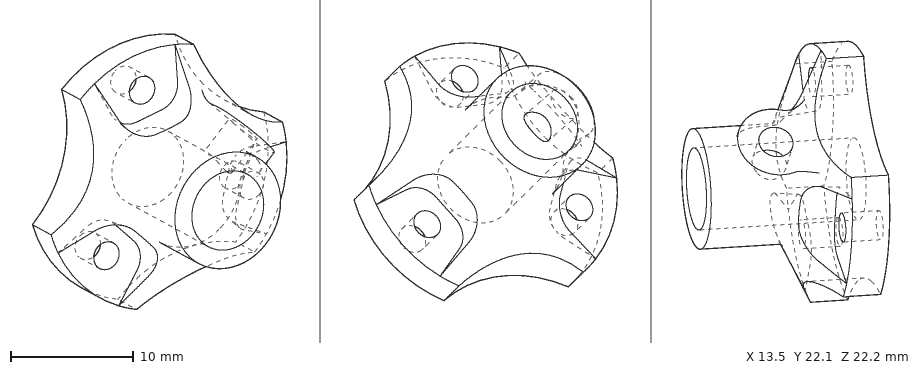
import cadquery as cq
import math

length = 13.48
flange_radius = 11.3
flange_thickness = 3.15
cone_end_x = 6.4
tube_radius = 9.92 / 2
bore_diameter = 6.75

lobe_count = 3
lobe_pitch = 360 / lobe_count
scallop_angle = 46.3
lobe_angle = scallop_angle + lobe_pitch / 2
scallop_radius = flange_radius
scallop_center = 19.45
bolt_hole_diameter = 2.38
bolt_circle_radius = 8.15

pocket_inner = 5.75
pocket_inner_half_width = 2.9
pocket_flare = 12
pocket_draft = 6
pocket_corner_radius = 2.1
pocket_outer = 13.35

lug_x = 7.92
lug_radius = 3.18
lug_height = 6.59
lug_hole_diameter = 2.85
blend_radius = 0.8
lug_cone_blend_radius = 1.45


def turned(shape, angle):
    """Turn a shape about the hub axis."""
    return shape.rotate((0, 0, 0), (1, 0, 0), angle)


def make_hub():
    return (
        cq.Workplane("XY")
        .polyline([
            (0, 0),
            (0, flange_radius),
            (flange_thickness, flange_radius),
            (cone_end_x, tube_radius),
            (length, tube_radius),
            (length, 0),
        ])
        .close()
        .revolve(360, (0, 0, 0), (1, 0, 0))
    )


def make_lug():
    """Cylindrical lug standing along +Z and merging into the cone."""
    return cq.Workplane("XY").center(lug_x, 0).circle(lug_radius).extrude(lug_height)


def make_scallop():
    return cq.Workplane("YZ").center(scallop_center, 0).circle(scallop_radius).extrude(length)


def make_pocket():
    """Drafted pocket along +Y, cut down to the flange face."""
    outer_half_width = pocket_inner_half_width + (
        (pocket_outer - pocket_inner) * math.tan(math.radians(pocket_flare))
    )
    outline = (
        cq.Sketch()
        .polygon([
            (pocket_inner, -pocket_inner_half_width),
            (pocket_outer, -outer_half_width),
            (pocket_outer, outer_half_width),
            (pocket_inner, pocket_inner_half_width),
            (pocket_inner, -pocket_inner_half_width),
        ])
        .vertices("<X")
        .fillet(pocket_corner_radius)
    )
    return (
        cq.Workplane("YZ", origin=(flange_thickness, 0, 0))
        .placeSketch(outline)
        .extrude(cone_end_x, taper=-pocket_draft)
    )


def make_bolt_hole():
    return (
        cq.Workplane("YZ")
        .center(bolt_circle_radius, 0)
        .circle(bolt_hole_diameter / 2)
        .extrude(length)
    )


def blend_concave_edges(body):
    """Fillet the junctions of cone, tube and lug while the lug points along +Z."""
    lug_to_cone = cq.selectors.BoxSelector(
        (flange_thickness + 0.22, -lug_radius, tube_radius),
        (cone_end_x - 0.22, lug_radius, lug_height + 0.22),
    )
    body = body.edges(lug_to_cone).fillet(lug_cone_blend_radius)
    junctions_to_tube = cq.selectors.BoxSelector(
        (cone_end_x - 0.02, -tube_radius, -tube_radius),
        (length - 0.22, tube_radius, tube_radius),
    )
    tube_seam = cq.selectors.BoxSelector(
        (cone_end_x + 0.02, tube_radius - 0.02, -0.02),
        (length - 0.22, tube_radius + 0.02, 0.02),
    )
    return body.edges(junctions_to_tube - tube_seam).fillet(blend_radius)


body = blend_concave_edges(make_hub().union(make_lug()))
body = turned(body, scallop_angle - 90)
for index in range(lobe_count):
    turn = index * lobe_pitch
    body = body.cut(turned(make_scallop(), scallop_angle + turn))
    body = body.cut(turned(make_pocket(), lobe_angle + turn))
    body = body.cut(turned(make_bolt_hole(), lobe_angle + turn))

body = body.cut(cq.Workplane("YZ").circle(bore_diameter / 2).extrude(length))
lug_hole = cq.Workplane("XY").center(lug_x, 0).circle(lug_hole_diameter / 2).extrude(lug_height)
result = body.cut(turned(lug_hole, scallop_angle - 90))